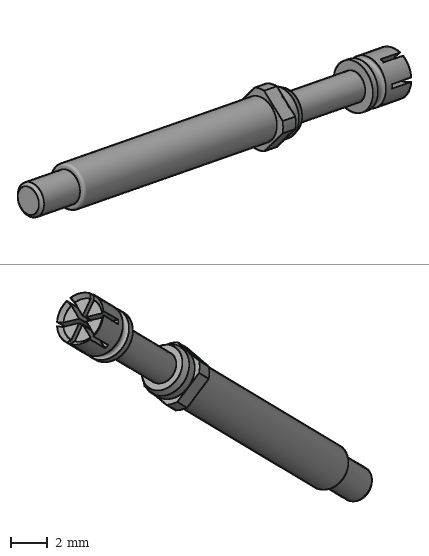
import cadquery as cq

total_length = 28.3
tail_length = 3.0
barrel_length = 15.0
square_length = 1.0
collar_length = 1.0
collar_taper_length = 0.42
head_length = 3.0
flange_length = 0.4
groove_width = 0.62

tail_diameter = 2.0
barrel_diameter = 2.65
square_corner_diameter = 3.6
collar_diameter = 2.97
taper_tip_diameter = 2.63
plunger_diameter = 1.85
head_diameter = 3.0

tail_chamfer = 0.2
barrel_end_fillet = 0.17
square_across_flats = 3.0
square_turn_angle = 45
groove_depth = 0.25
groove_fillet = 0.17
recess_depth = 0.25
recess_wall_angle = 45
slot_count = 6
slot_width = 0.25
slot_depth = 1.5

tail_tip = -total_length / 2
barrel_start = tail_tip + tail_length
square_start = barrel_start + barrel_length
collar_start = square_start + square_length
collar_end = collar_start + collar_length
head_end = total_length / 2
head_start = head_end - head_length
groove_start = head_start + flange_length


def cylinder(diameter, start, length):
    """Cylinder on the Y axis running from start toward +Y."""
    return cq.Workplane("XZ", origin=(0, start, 0)).circle(diameter / 2).extrude(-length)


def make_tail():
    tail = cylinder(tail_diameter, tail_tip, tail_length)
    return tail.faces("<Y").chamfer(tail_chamfer)


def make_barrel():
    barrel = cylinder(barrel_diameter, barrel_start, barrel_length)
    return barrel.faces("<Y").edges().fillet(barrel_end_fillet)


def make_square():
    """Square key turned 45 degrees, with its corners rounded about the axis."""
    square = (
        cq.Workplane("XZ", origin=(0, square_start, 0))
        .transformed(rotate=(0, 0, square_turn_angle))
        .rect(square_across_flats, square_across_flats)
        .extrude(-square_length)
    )
    return square.intersect(cylinder(square_corner_diameter, square_start, square_length))


def make_collar():
    collar = cylinder(collar_diameter, collar_start, collar_length)
    taper_height = (collar_diameter - taper_tip_diameter) / 2
    return collar.faces(">Y").edges().chamfer(collar_taper_length, taper_height)


def make_plunger():
    return cylinder(plunger_diameter, collar_end, head_start - collar_end)


def make_groove():
    """Ring that cuts the round-cornered groove behind the head."""
    ring = cylinder(head_diameter, groove_start, groove_width)
    core = cylinder(head_diameter - 2 * groove_depth, groove_start, groove_width)
    inner_edges = cq.selectors.RadiusNthSelector(0)
    return ring.cut(core).edges(inner_edges).fillet(groove_fillet)


def make_recess():
    """Shallow dish in the head face, narrowing inward from a sharp rim."""
    rim = cq.Workplane("XZ", origin=(0, head_end, 0)).circle(head_diameter / 2)
    return rim.extrude(recess_depth, taper=recess_wall_angle)


def make_head():
    head = cylinder(head_diameter, head_start, head_length).cut(make_groove())
    head = head.cut(make_recess())
    slot_cutter = cq.Workplane("XY").box(head_diameter, slot_depth, slot_width)
    slot_cutter = slot_cutter.translate((0, head_end - slot_depth / 2, 0))
    for index in range(slot_count // 2):
        angle = index * 360 / slot_count
        head = head.cut(slot_cutter.rotate((0, 0, 0), (0, 1, 0), angle))
    return head


result = (
    make_tail()
    .union(make_barrel())
    .union(make_square())
    .union(make_collar())
    .union(make_plunger())
    .union(make_head())
)